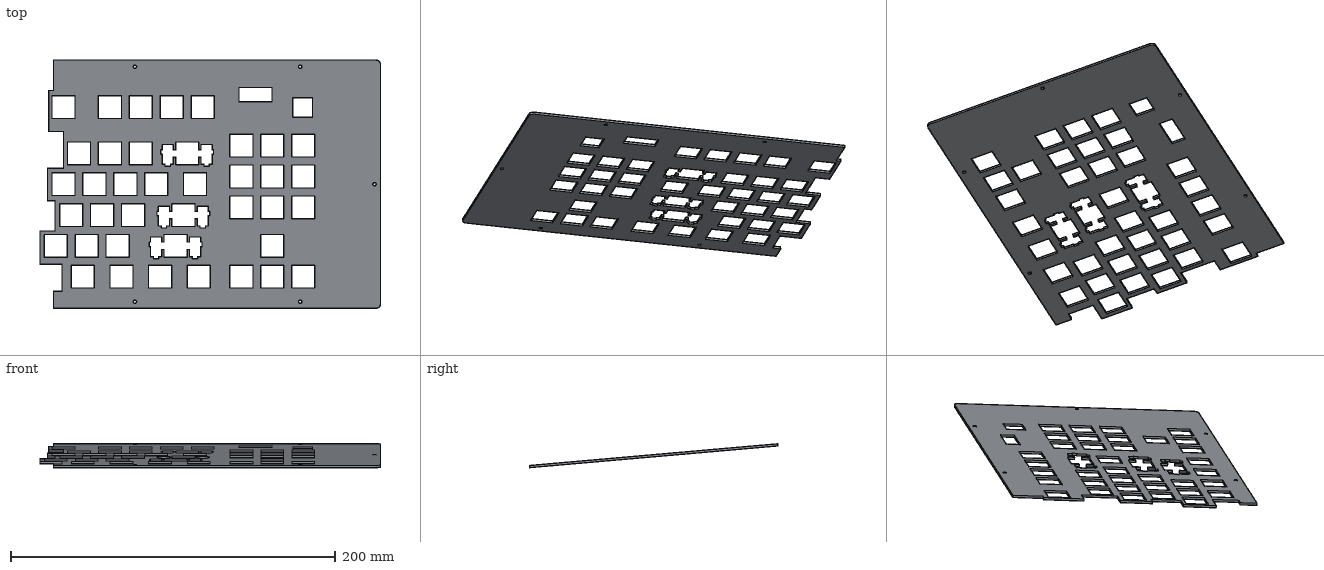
import cadquery as cq


plate_length = 210.1
plate_depth = 153.5
plate_thickness = 1.5
tilt_angle = 5.0
corner_radius = 3.0
right_edge = plate_length / 2
back_edge = plate_depth / 2

left_runs = [-96.7, -99.5, -90.5, -100.5, -95.8, -right_edge, -91.5, -96.7]
left_steps = [58.0, 32.5, 9.9, -10.3, -29.0, -49.5, -66.2]

column_span = 152.5
pitches_in_span = 8
key_pitch = column_span / pitches_in_span
grid_origin_x = 38.2
switch_size = 14.0

switch_rows = {
    2.5: [-6.75, -5.25, -4.25, -3.25, -2.25],
    1.0: [-6.25, -5.25, -4.25],
    0.0: [-6.75, -5.75, -4.75, -3.75, -2.5],
    -1.0: [-6.5, -5.5, -4.5],
    -2.0: [-7, -6, -5, 0],
    -3.0: [-6.125, -4.875, -3.625, -2.375, -1, 0, 1],
}
number_pad_rows = [1.25, 0.25, -0.75]
number_pad_columns = [-1, 0, 1]

stabilized_keys = [(-2.75, 1), (-2.875, -1), (-3.125, -2)]

wing_offset = 12.0
wing_width = 6.7
wing_top = 5.5
wing_bottom = -6.7
notch_width = 3.2
notch_bottom = -8.0
channel_height = 4.6
tab_reach = 16.2
tab_top = channel_height / 2
tab_bottom = -0.5

display_width = 20.2
display_depth = 8.8
display_x = 28.0
display_y = 55.5
encoder_size = 12.0
encoder_x = 57.0
encoder_y = 47.5

screw_diameter = 2.0
screw_columns = [-46.5, 55.5]
screw_y = 72.7
side_screw_x = 101.3


def box_between(left, right, bottom, top):
    """Cutter with the given plan limits, as thick as the plate."""
    return cq.Workplane("XY").box(
        right - left, top - bottom, plate_thickness, centered=False
    ).translate((left, bottom, -plate_thickness / 2))


def centered_box(width, depth):
    return cq.Workplane("XY").box(width, depth, plate_thickness)


def grid_point(column, row):
    return (grid_origin_x + column * key_pitch, row * key_pitch)


def make_plate():
    """Plate with a stepped left edge and rounded right corners."""
    outline = [(right_edge, -back_edge), (right_edge, back_edge)]
    run_ends = [back_edge] + left_steps + [-back_edge]
    for index, x in enumerate(left_runs):
        outline.append((x, run_ends[index]))
        outline.append((x, run_ends[index + 1]))
    plate = cq.Workplane("XY").polyline(outline).close().extrude(plate_thickness / 2, both=True)
    return plate.edges("|Z and >X").fillet(corner_radius)


def make_stabilizer_cutter():
    """Switch opening joined by a channel to a notched, tabbed wing on each side."""
    cutter = centered_box(switch_size, switch_size)
    cutter = cutter.union(centered_box(2 * wing_offset, channel_height))
    for side in (-1, 1):
        wing_x = side * wing_offset
        tab_left, tab_right = sorted((wing_x, side * tab_reach))
        wing = box_between(wing_x - wing_width / 2, wing_x + wing_width / 2, wing_bottom, wing_top)
        notch = box_between(wing_x - notch_width / 2, wing_x + notch_width / 2, notch_bottom, 0)
        tab = box_between(tab_left, tab_right, tab_bottom, tab_top)
        cutter = cutter.union(wing).union(notch).union(tab)
    return cutter


plate = make_plate()

switch_points = [grid_point(column, row) for row, columns in switch_rows.items() for column in columns]
switch_points += [grid_point(column, row) for row in number_pad_rows for column in number_pad_columns]
plate = plate.cut(
    cq.Workplane("XY").pushPoints(switch_points).box(switch_size, switch_size, plate_thickness)
)

stabilizer_cutter = make_stabilizer_cutter()
for column, row in stabilized_keys:
    plate = plate.cut(stabilizer_cutter.translate((*grid_point(column, row), 0)))

plate = plate.cut(centered_box(display_width, display_depth).translate((display_x, display_y, 0)))
plate = plate.cut(centered_box(encoder_size, encoder_size).translate((encoder_x, encoder_y, 0)))

screw_points = [(x, y) for x in screw_columns for y in (-screw_y, screw_y)]
screw_points.append((side_screw_x, 0))
screw_cutter = cq.Workplane("XY").pushPoints(screw_points).circle(screw_diameter / 2)
plate = plate.cut(screw_cutter.extrude(plate_thickness / 2, both=True))

result = plate.rotate((0, 0, 0), (1, 0, 0), tilt_angle)